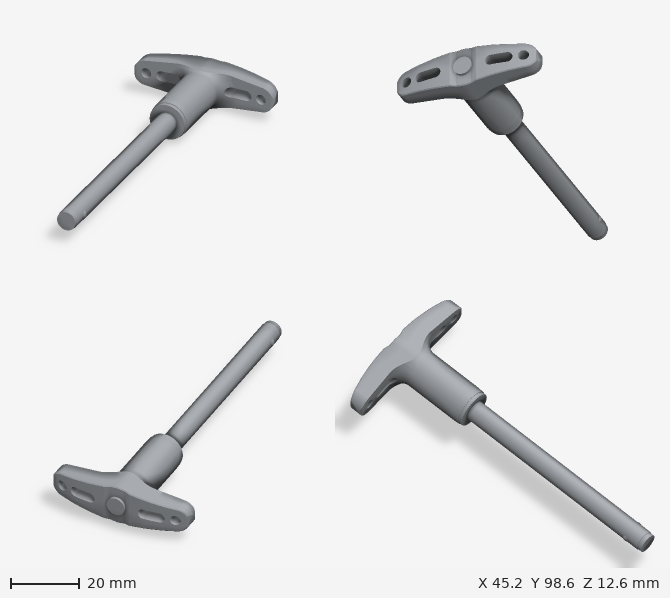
import cadquery as cq
import math

button_top_y = 31.55
pin_tip_y = -67.05
collar_top_y = 1.15
taper_top_y = 2.9

pin_radius = 3.175
tip_radius = 2.95
tip_length = 1.55
tip_bevel_length = 0.3
ball_y = -61.0
ball_reach = 3.5
ball_radius = 1.68
button_radius = 2.9
button_depth = 2.0

barrel_radius = 5.93
taper_radius = 5.83
collar_radius = 5.6
flare_radius = 4.4

handle_length = 45.2
handle_width = 12.64
end_radius = 4.05
middle_radius = handle_width / 2
end_center_x = handle_length / 2 - end_radius

crown_y = button_top_y - 0.35
crown_x = 5.3
back_radius = 52.5
valley_y = button_top_y - 0.9
valley_half_width = 2.4
valley_edge_x = 4.2
front_y = button_top_y - 6.85
front_edge_x = 8.7
front_end_y = button_top_y - 7.5
back_end_x = 22.05
front_end_x = handle_length / 2 + 0.2
front_corner_radius = 1.0
back_chamfer = 0.3

hole_radius = 1.6
hole_x = end_center_x
slot_inner_x = 7.1
slot_outer_x = 15.4
slot_width = 3.25


def back_height(x):
    """Y of the rounded back of an arm at distance x from the axis."""
    return crown_y - back_radius + math.sqrt(back_radius**2 - (x - crown_x) ** 2)


def extrude_along_y(sketch, y_low, y_high):
    """Extrude a sketch drawn on the XZ plane between two heights on the axis."""
    return sketch.extrude(y_low - y_high).translate((0, y_low, 0))


def outline_prism():
    """Tapered handle outline, extruded over the handle and flare."""
    sine = (middle_radius - end_radius) / end_center_x
    cosine = math.sqrt(1 - sine**2)
    middle_x = middle_radius * sine
    middle_z = middle_radius * cosine
    end_x = end_center_x + end_radius * sine
    end_z = end_radius * cosine
    tip_x = end_center_x + end_radius
    sketch = (
        cq.Workplane("XZ")
        .moveTo(-middle_x, middle_z)
        .threePointArc((0, middle_radius), (middle_x, middle_z))
        .lineTo(end_x, end_z)
        .threePointArc((tip_x, 0), (end_x, -end_z))
        .lineTo(middle_x, -middle_z)
        .threePointArc((0, -middle_radius), (-middle_x, -middle_z))
        .lineTo(-end_x, -end_z)
        .threePointArc((-tip_x, 0), (-end_x, end_z))
        .close()
    )
    return extrude_along_y(sketch, 0, button_top_y)


def handle_profile():
    """Side profile of the handle: arched back with a central valley and slanted ends."""
    arc_x = (valley_edge_x + back_end_x) / 2
    profile = (
        cq.Workplane("XY")
        .moveTo(-valley_half_width, valley_y)
        .lineTo(valley_half_width, valley_y)
        .lineTo(valley_edge_x, back_height(valley_edge_x))
        .threePointArc((arc_x, back_height(arc_x)), (back_end_x, back_height(back_end_x)))
        .lineTo(front_end_x, front_end_y)
        .lineTo(front_edge_x, front_y)
        .lineTo(-front_edge_x, front_y)
        .lineTo(-front_end_x, front_end_y)
        .lineTo(-back_end_x, back_height(back_end_x))
        .threePointArc((-arc_x, back_height(arc_x)), (-valley_edge_x, back_height(valley_edge_x)))
        .close()
        .extrude(handle_width, both=True)
    )
    return profile.edges("|Z and (<X or >X)").fillet(front_corner_radius)


def flare():
    """Concave blend of revolution from the barrel to the front of the handle."""
    rim_radius = barrel_radius + flare_radius
    base_y = front_y - flare_radius
    buried_y = front_y + flare_radius / 2
    diagonal = flare_radius * math.sqrt(0.5)
    return (
        cq.Workplane("XY")
        .moveTo(0, base_y)
        .lineTo(barrel_radius, base_y)
        .threePointArc((rim_radius - diagonal, base_y + diagonal), (rim_radius, front_y))
        .lineTo(rim_radius, buried_y)
        .lineTo(0, buried_y)
        .close()
        .revolve(360, (0, 0, 0), (0, 1, 0))
    )


def arm_openings(side):
    """Round hole and round-ended slot through one arm."""
    slot_center_x = (slot_inner_x + slot_outer_x) / 2
    slot_length = slot_outer_x - slot_inner_x
    hole = cq.Workplane("XZ").center(side * hole_x, 0).circle(hole_radius)
    slot = cq.Workplane("XZ").center(side * slot_center_x, 0).slot2D(slot_length, slot_width)
    return extrude_along_y(hole, 0, button_top_y).union(extrude_along_y(slot, 0, button_top_y))


def rim_edges(body):
    """Edges around the back of the handle, leaving out the creases that run across it along Z."""
    rim_low_y = back_height(back_end_x) - back_chamfer
    edges = body.edges("not |Z").vals()
    return [edge for edge in edges if edge.BoundingBox().ymin > rim_low_y]


def handle():
    """Handle with its flare, chamfered back rim and arm openings."""
    body = handle_profile().intersect(outline_prism())
    body = body.newObject(rim_edges(body)).chamfer(back_chamfer)
    body = body.union(flare().intersect(outline_prism()))
    for side in (-1, 1):
        body = body.cut(arm_openings(side))
    return body


def barrel_and_pin():
    """Turned barrel, collar and pin with a reduced tip, revolved about Y."""
    shoulder_y = pin_tip_y + tip_length
    return (
        cq.Workplane("XY")
        .moveTo(0, front_y)
        .lineTo(barrel_radius, front_y)
        .lineTo(barrel_radius, taper_top_y)
        .lineTo(taper_radius, collar_top_y)
        .lineTo(collar_radius, collar_top_y)
        .lineTo(collar_radius, 0)
        .lineTo(pin_radius, 0)
        .lineTo(pin_radius, shoulder_y)
        .lineTo(tip_radius, shoulder_y - tip_bevel_length)
        .lineTo(tip_radius, pin_tip_y)
        .lineTo(0, pin_tip_y)
        .close()
        .revolve(360, (0, 0, 0), (0, 1, 0))
    )


def locking_ball(side):
    """Ball standing slightly proud of the pin on one side."""
    center_x = side * (ball_reach - ball_radius)
    return cq.Workplane("XY").sphere(ball_radius).translate((center_x, ball_y, 0))


def button():
    """Round release button in the valley of the handle."""
    sketch = cq.Workplane("XZ").circle(button_radius)
    return extrude_along_y(sketch, button_top_y - button_depth, button_top_y)


result = handle().union(barrel_and_pin()).union(button())
for ball_side in (-1, 1):
    result = result.union(locking_ball(ball_side))